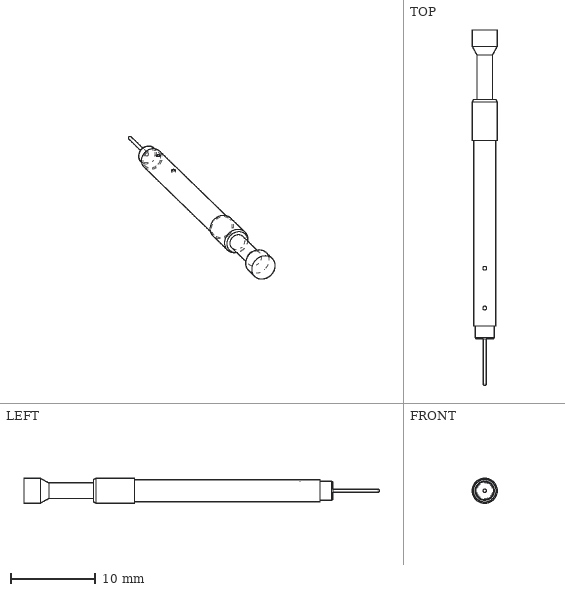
import cadquery as cq
import math

LENGTH = 42.3
HEAD_END = LENGTH / 2
PIN_END = -LENGTH / 2

HEAD_DIA = 3.0
NECK_DIA = 1.9
COLLAR_DIA = HEAD_DIA
BARREL_DIA = 2.65
END_PLUG_DIA = 2.3
PIN_DIA = 0.4

HEAD_LENGTH = 1.95
HEAD_TAPER_LENGTH = 1.0
NECK_LENGTH = 5.3
COLLAR_LENGTH = 4.9
BARREL_LENGTH = 22.1
END_PLUG_LENGTH = 1.52

COLLAR_CHAMFER_LENGTH = 0.35
COLLAR_CHAMFER_DEPTH = 0.15
END_PLUG_CHAMFER_LENGTH = 0.15
END_PLUG_CHAMFER_DEPTH = 0.1

PIN_DOME_HEIGHT = 0.15

HOLE_DIA = 0.45
HOLE_DEPTH = 0.25
HOLE_SPACING = 4.75
HOLE_END_DISTANCE = 2.15

head_base = HEAD_END - HEAD_LENGTH
neck_start = head_base - HEAD_TAPER_LENGTH
collar_start = neck_start - NECK_LENGTH
barrel_start = collar_start - COLLAR_LENGTH
barrel_end = barrel_start - BARREL_LENGTH
plug_end = barrel_end - END_PLUG_LENGTH


def turned_body():
    """Half outline of all stepped diameters, revolved about the Y axis."""
    head_r = HEAD_DIA / 2
    neck_r = NECK_DIA / 2
    collar_r = COLLAR_DIA / 2
    barrel_r = BARREL_DIA / 2
    plug_r = END_PLUG_DIA / 2
    pin_r = PIN_DIA / 2
    dome_start = PIN_END + PIN_DOME_HEIGHT
    dome_r = (pin_r**2 + PIN_DOME_HEIGHT**2) / (2 * PIN_DOME_HEIGHT)
    half_angle = math.asin(pin_r / dome_r) / 2
    dome_middle = (dome_r * math.sin(half_angle), PIN_END + dome_r * (1 - math.cos(half_angle)))
    outline = [
        (0, HEAD_END),
        (head_r, HEAD_END),
        (head_r, head_base),
        (neck_r, neck_start),
        (neck_r, collar_start),
        (collar_r - COLLAR_CHAMFER_DEPTH, collar_start),
        (collar_r, collar_start - COLLAR_CHAMFER_LENGTH),
        (collar_r, barrel_start),
        (barrel_r, barrel_start),
        (barrel_r, barrel_end),
        (plug_r, barrel_end),
        (plug_r, plug_end + END_PLUG_CHAMFER_LENGTH),
        (plug_r - END_PLUG_CHAMFER_DEPTH, plug_end),
        (pin_r, plug_end),
        (pin_r, dome_start),
    ]
    profile = cq.Workplane("XY").polyline(outline)
    profile = profile.threePointArc(dome_middle, (0, PIN_END)).close()
    return profile.revolve(360, (0, 0, 0), (0, 1, 0))


def barrel_holes():
    """Cutters for the row of small holes in the barrel, drilled down from +Z."""
    first_y = barrel_end + HOLE_END_DISTANCE
    centres = [(0, first_y), (0, first_y + HOLE_SPACING)]
    floor_z = BARREL_DIA / 2 - HOLE_DEPTH
    drilling = cq.Workplane("XY").workplane(offset=floor_z).pushPoints(centres)
    return drilling.circle(HOLE_DIA / 2).extrude(BARREL_DIA / 2)


result = turned_body().cut(barrel_holes())